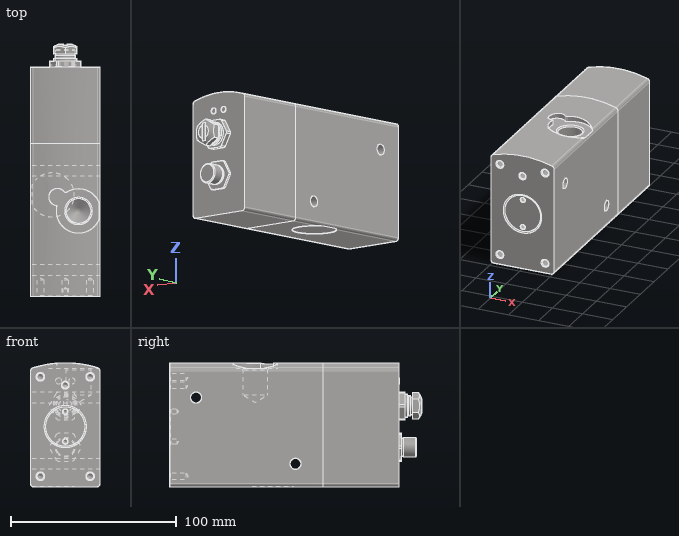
import cadquery as cq
import math


WIDTH = 42.0
HEIGHT = 75.0
CROWN_RADIUS = 66.0
UPPER_CORNER_RADIUS = 2.1
LOWER_CORNER_RADIUS = 2.0

OVERALL_LENGTH = 152.34
BLOCKS_LENGTH = 138.5
VALVE_LENGTH = 92.5
PILOT_LENGTH = BLOCKS_LENGTH - VALVE_LENGTH

DRILL_TIP_ANGLE = 118.0
SCREW_SPACING_X = 30.0
SCREW_SPACING_Z = 60.0
LOWER_SCREW_Z = 6.5
SCREW_HOLE_DIAMETER = 4.13
SCREW_HOLE_MOUTH = 5.2
SCREW_HOLE_DEPTH = 10.0
VENT_Z = 61.5
VENT_DIAMETER = 3.8
VENT_MOUTH = 4.8
VENT_DEPTH = 10.0

CAP_Z = LOWER_SCREW_Z + SCREW_SPACING_Z / 2
CAP_MOUTH_DIAMETER = 25.5
CAP_FLOOR_DIAMETER = 23.7
CAP_DEPTH = 0.5
SPANNER_HOLE_SPACING = 18.0
SPANNER_HOLE_DIAMETER = 2.9
SPANNER_HOLE_MOUTH = 3.4
SPANNER_HOLE_DEPTH = 4.0

MOUNTING_DIAMETER = 6.5
FRONT_MOUNTING = (16.0, 54.0)
REAR_MOUNTING = (76.0, 14.0)

PORT_X = 8.0
PORT_Y = 51.7
PORT_DIAMETER = 14.95
PORT_MOUTH = 16.6
PORT_DEPTH = 16.0
SEAT_RADIUS = 13.4
SEAT_Z = 71.5
LOBE_RADIUS = 5.2
LOBE_OFFSET_X = -12.7
LOBE_OFFSET_Y = 8.4
LOBE_BLEND_RADIUS = 1.0

BASE_SEAT_Y = 61.4
BASE_SEAT_DEPTH = 0.3

GLAND_Z = 49.0
HEX_ACROSS_FLATS = 17.0
HEX_TURNED_DIAMETER = 18.9
GLAND_HEX_LENGTH = 3.6
GLAND_COLLAR_DIAMETER = 14.0
GLAND_COLLAR_END = 5.2
GLAND_RING_DIAMETER = 12.4
GLAND_RING_START = 5.6
GLAND_RING_END = 6.9
GLAND_NECK_DIAMETER = 10.92
GLAND_NUT_START = 8.0
GLAND_NUT_ACROSS_FLATS = 14.0
GLAND_DOME_HEIGHT = 1.4
GLAND_END_DIAMETER = 8.0
GLAND_SLOT_WIDTH = 2.4
GLAND_SLOT_DEPTH = 0.6
GLAND_LENGTH = OVERALL_LENGTH - BLOCKS_LENGTH

PLUG_Z = 24.0
PLUG_FLANGE_LENGTH = 1.4
PLUG_DIAMETER = 12.0
PLUG_RELIEF_DIAMETER = 10.9
PLUG_RELIEF_END = 2.6
PLUG_LENGTH = 10.5
PLUG_CHAMFER = 0.6

INDICATOR_SPACING_X = 8.0
INDICATOR_Z = 64.0
INDICATOR_DIAMETER = 3.7
INDICATOR_HEIGHT = 0.4


def block(y_start, length):
    """Crowned block with rounded long edges."""
    half = WIDTH / 2
    shoulder_z = HEIGHT - CROWN_RADIUS + math.sqrt(CROWN_RADIUS**2 - half**2)
    body = (
        cq.Workplane("XZ", origin=(0, y_start, 0))
        .moveTo(-half, 0)
        .lineTo(half, 0)
        .lineTo(half, shoulder_z)
        .threePointArc((0, HEIGHT), (-half, shoulder_z))
        .close()
        .extrude(-length)
    )
    body = body.edges("|Y").edges("<Z").fillet(LOWER_CORNER_RADIUS)
    upper = cq.selectors.BoxSelector(
        (-WIDTH, y_start, shoulder_z - UPPER_CORNER_RADIUS),
        (WIDTH, y_start + length, shoulder_z + UPPER_CORNER_RADIUS),
    )
    return body.edges("|Y").edges(upper).fillet(UPPER_CORNER_RADIUS)


def drilled_hole(plane, diameter, mouth, depth):
    """Cutter for a blind hole along the plane's local Y, with a 45 degree mouth and a conical tip."""
    radius = diameter / 2
    mouth_depth = (mouth - diameter) / 2
    tip = radius / math.tan(math.radians(DRILL_TIP_ANGLE / 2))
    return (
        cq.Workplane(plane)
        .polyline([(0, 0), (mouth / 2, 0), (radius, mouth_depth), (radius, depth), (0, depth + tip)])
        .close()
        .revolve(360, (0, 0), (0, 1))
    )


def front_hole(x, z, diameter, mouth, depth, y=0):
    """Drilled hole running in +Y."""
    rearward = cq.Plane(origin=(x, y, z), xDir=(1, 0, 0), normal=(0, 0, 1))
    return drilled_hole(rearward, diameter, mouth, depth)


def rear_hexagon(across_flats, start, end, z, flats_up):
    """Hexagonal prism on the rear, with flats facing up or corners facing up."""
    hexagon = (
        cq.Workplane("XZ", origin=(0, BLOCKS_LENGTH + start, z))
        .polygon(6, across_flats, circumscribed=True)
        .extrude(start - end)
    )
    turn = 30 if flats_up else 0
    return hexagon.rotate((0, 0, z), (0, 1, z), turn)


def rear_cylinder(diameter, start, end, z):
    """Cylinder along Y, with start and end measured from the rear face."""
    return (
        cq.Workplane("XZ", origin=(0, BLOCKS_LENGTH + start, z))
        .circle(diameter / 2)
        .extrude(start - end)
    )


def turned_hexagon(length, z):
    """Hexagon whose corners are turned down to a cylinder."""
    hexagon = rear_hexagon(HEX_ACROSS_FLATS, 0, length, z, flats_up=True)
    return hexagon.intersect(rear_cylinder(HEX_TURNED_DIAMETER, 0, length, z))


def cap_recess():
    """Shallow recess with a tapered wall that leaves the face of the end cap as its floor."""
    return (
        cq.Workplane("XZ", origin=(0, 0, CAP_Z))
        .circle(CAP_MOUTH_DIAMETER / 2)
        .workplane(offset=-CAP_DEPTH)
        .circle(CAP_FLOOR_DIAMETER / 2)
        .loft(ruled=True)
    )


def port_seat():
    """Flat seat around the outlet port, with a lobe on one side."""
    depth = HEIGHT - SEAT_Z
    plane = cq.Workplane("XY", origin=(PORT_X, PORT_Y, SEAT_Z))
    seat = plane.circle(SEAT_RADIUS).extrude(depth)
    lobe = plane.center(LOBE_OFFSET_X, LOBE_OFFSET_Y).circle(LOBE_RADIUS).extrude(depth)
    junctions = cq.selectors.BoxSelector(
        (PORT_X + LOBE_OFFSET_X, PORT_Y, SEAT_Z),
        (PORT_X, PORT_Y + SEAT_RADIUS, HEIGHT),
    )
    return seat.union(lobe).edges("|Z").edges(junctions).fillet(LOBE_BLEND_RADIUS)


def make_valve():
    """Front body with the outlet port, mounting holes and end cap."""
    valve = block(0, VALVE_LENGTH)

    for x in (-SCREW_SPACING_X / 2, SCREW_SPACING_X / 2):
        for z in (LOWER_SCREW_Z, LOWER_SCREW_Z + SCREW_SPACING_Z):
            valve = valve.cut(front_hole(x, z, SCREW_HOLE_DIAMETER, SCREW_HOLE_MOUTH, SCREW_HOLE_DEPTH))
    valve = valve.cut(front_hole(0, VENT_Z, VENT_DIAMETER, VENT_MOUTH, VENT_DEPTH))

    valve = valve.cut(cap_recess())
    for z in (CAP_Z - SPANNER_HOLE_SPACING / 2, CAP_Z + SPANNER_HOLE_SPACING / 2):
        spanner_hole = front_hole(
            0, z, SPANNER_HOLE_DIAMETER, SPANNER_HOLE_MOUTH, SPANNER_HOLE_DEPTH, y=CAP_DEPTH
        )
        valve = valve.cut(spanner_hole)

    mounting_holes = (
        cq.Workplane("YZ", origin=(-WIDTH / 2, 0, 0))
        .pushPoints([FRONT_MOUNTING, REAR_MOUNTING])
        .circle(MOUNTING_DIAMETER / 2)
        .extrude(WIDTH)
    )
    valve = valve.cut(mounting_holes)

    downward = cq.Plane(origin=(PORT_X, PORT_Y, SEAT_Z), xDir=(1, 0, 0), normal=(0, 1, 0))
    port = drilled_hole(downward, PORT_DIAMETER, PORT_MOUTH, PORT_DEPTH)
    valve = valve.cut(port_seat()).cut(port)

    base_seat = (
        cq.Workplane("XY", origin=(-PORT_X, BASE_SEAT_Y, 0))
        .circle(SEAT_RADIUS)
        .extrude(BASE_SEAT_DEPTH)
    )
    return valve.cut(base_seat)


def make_gland():
    """Cable gland with a hexagonal base, ringed neck and domed, slotted nut."""
    hexagon = turned_hexagon(GLAND_HEX_LENGTH, GLAND_Z)
    neck = rear_cylinder(GLAND_NECK_DIAMETER, 0, GLAND_NUT_START, GLAND_Z)
    collar = rear_cylinder(GLAND_COLLAR_DIAMETER, GLAND_HEX_LENGTH, GLAND_COLLAR_END, GLAND_Z)
    ring = rear_cylinder(GLAND_RING_DIAMETER, GLAND_RING_START, GLAND_RING_END, GLAND_Z)
    nut = rear_hexagon(GLAND_NUT_ACROSS_FLATS, GLAND_NUT_START, GLAND_LENGTH, GLAND_Z, flats_up=False)

    rim_radius = GLAND_NUT_ACROSS_FLATS / 2
    end_radius = GLAND_END_DIAMETER / 2
    centre_to_rim = (rim_radius**2 - end_radius**2 - GLAND_DOME_HEIGHT**2) / (2 * GLAND_DOME_HEIGHT)
    dome_radius = math.hypot(rim_radius, centre_to_rim)
    dome_centre_y = OVERALL_LENGTH - GLAND_DOME_HEIGHT - centre_to_rim
    dome = cq.Workplane("XY", origin=(0, dome_centre_y, GLAND_Z)).sphere(dome_radius)
    slot = cq.Workplane("XY", origin=(0, OVERALL_LENGTH, GLAND_Z)).box(
        GLAND_SLOT_WIDTH, 2 * GLAND_SLOT_DEPTH, 2 * rim_radius
    )
    domed_nut = nut.intersect(dome).cut(slot)
    return hexagon.union(neck).union(collar).union(ring).union(domed_nut)


def make_plug():
    """Round connector on a thin hexagonal flange."""
    flange = turned_hexagon(PLUG_FLANGE_LENGTH, PLUG_Z)
    relief = rear_cylinder(PLUG_RELIEF_DIAMETER, 0, PLUG_RELIEF_END, PLUG_Z)
    thread = rear_cylinder(PLUG_DIAMETER, PLUG_RELIEF_END, PLUG_LENGTH, PLUG_Z)
    thread = thread.faces(">Y").chamfer(PLUG_CHAMFER)
    return flange.union(relief).union(thread)


def make_pilot():
    """Rear body carrying the gland, the plug and the indicators."""
    pilot = block(VALVE_LENGTH, PILOT_LENGTH).union(make_gland()).union(make_plug())
    indicator = rear_cylinder(INDICATOR_DIAMETER, 0, INDICATOR_HEIGHT, INDICATOR_Z)
    for x in (-INDICATOR_SPACING_X / 2, INDICATOR_SPACING_X / 2):
        pilot = pilot.union(indicator.translate((x, 0, 0)))
    return pilot


valve = make_valve()
pilot = make_pilot()

result = cq.Compound.makeCompound([valve.val(), pilot.val()])